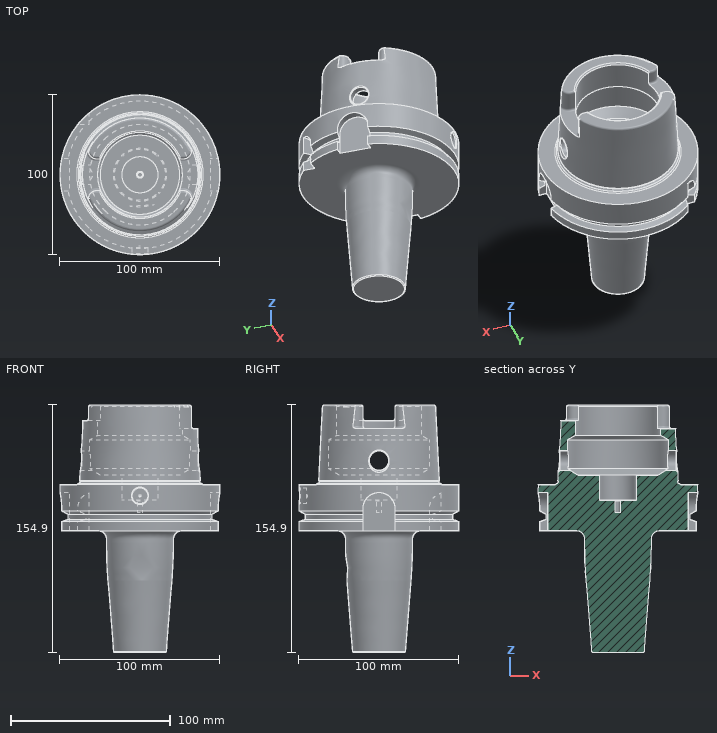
import cadquery as cq
import math


total_height = 154.9
shank_length = 49.9
flange_thickness = 29.0
flange_top = total_height - shank_length
flange_bottom = flange_top - flange_thickness

taper_base_radius = 37.8
taper_base_z = flange_top + 2.6
taper_slope = 1 / 20
taper_top_radius = taper_base_radius - taper_slope * (total_height - taper_base_z)
relief_depth = 0.3
relief_drop = 0.8
relief_fillet = 1.1
relief_foot_radius = 39.5
edge_round = 1.5

flange_radius = 50.0
groove_radius = 46.2
groove_upper_edge = 88.6
groove_upper_floor = 86.5
groove_lower_floor = 83.3
groove_lower_edge = 82.0

nose_angle = math.radians(4.5)
tip_radius = 16.5
tip_chamfer = 0.6
cone_top_z = 45.0
neck_bottom_z = 68.8
neck_fillet = 5.0
cone_top_radius = tip_radius + cone_top_z * math.tan(nose_angle)
blend_height = neck_bottom_z - cone_top_z
neck_radius = cone_top_radius + blend_height * math.tan(nose_angle / 2)

mouth_radius = 26.5
mouth_chamfer = 1.0
cavity_radius = 31.5
shoulder_z = 135.8
shoulder_angle = math.radians(30)
cavity_wall_bottom_z = 115.1
cavity_floor_radius = 24.8
cavity_floor_z = 110.9
thread_radius = 11.3
thread_depth = 15.5
coolant_radius = 1.5
coolant_depth = 7.7
coolant_chamfer = 0.6

slot_width = 19.8
slot_corner_radius = 5.0
slot_corner_x = 32.2
slot_depth_minus_x = 9.9
slot_depth_plus_x = 14.9

cross_hole_radius = 6.0
cross_hole_z = 120.0
cross_hole_sink = 1.0

keyway_width = 20.1
keyway_floor_x = 44.0
keyway_arc_z = 90.0
notch_floor_x = -31.8
notch_wall_y = 31.5

chip_radius = 5.4
chip_z = 98.0
chip_depth = 4.6
chip_chamfer = 0.5
chip_center_radius = 0.6
chip_center_depth = 0.8


def make_body():
    """Turned outer shape of the holder."""
    relief_radius = taper_base_radius - relief_depth
    relief_top_z = taper_base_z - relief_drop
    arc_mid_angle = math.radians(45)
    blend_radius = blend_height / math.sin(nose_angle)
    blend_mid = (
        neck_radius - blend_radius * (1 - math.cos(nose_angle / 2)),
        neck_bottom_z - blend_radius * math.sin(nose_angle / 2),
    )
    neck_mid = (
        neck_radius + neck_fillet * (1 - math.cos(arc_mid_angle)),
        flange_bottom - neck_fillet * (1 - math.sin(arc_mid_angle)),
    )
    relief_mid = (
        relief_radius + relief_fillet * (1 - math.cos(arc_mid_angle)),
        relief_top_z - relief_fillet * math.sin(arc_mid_angle),
    )
    profile = (
        cq.Workplane("YZ")
        .lineTo(tip_radius - tip_chamfer, 0)
        .lineTo(tip_radius + tip_chamfer * math.tan(nose_angle), tip_chamfer)
        .lineTo(cone_top_radius, cone_top_z)
        .threePointArc(blend_mid, (neck_radius, neck_bottom_z))
        .lineTo(neck_radius, flange_bottom - neck_fillet)
        .threePointArc(neck_mid, (neck_radius + neck_fillet, flange_bottom))
        .lineTo(flange_radius, flange_bottom)
        .lineTo(flange_radius, groove_lower_edge)
        .lineTo(groove_radius, groove_lower_floor)
        .lineTo(groove_radius, groove_upper_floor)
        .lineTo(flange_radius, groove_upper_edge)
        .lineTo(flange_radius, flange_top)
        .lineTo(relief_foot_radius, flange_top)
        .lineTo(relief_radius + relief_fillet, relief_top_z - relief_fillet)
        .threePointArc(relief_mid, (relief_radius, relief_top_z))
        .lineTo(taper_base_radius, taper_base_z)
        .lineTo(taper_top_radius, total_height)
        .lineTo(0, total_height)
        .close()
    )
    return profile.revolve(360, (0, 0, 0), (0, 1, 0))


def make_cavity():
    """Clamping hollow, tube thread bore and coolant hole, all on the axis."""
    shoulder_bottom_z = shoulder_z - (cavity_radius - mouth_radius) * math.tan(shoulder_angle)
    thread_bottom_z = cavity_floor_z - thread_depth
    profile = (
        cq.Workplane("YZ")
        .moveTo(0, total_height)
        .lineTo(mouth_radius + mouth_chamfer, total_height)
        .lineTo(mouth_radius, total_height - mouth_chamfer)
        .lineTo(mouth_radius, shoulder_z)
        .lineTo(cavity_radius, shoulder_bottom_z)
        .lineTo(cavity_radius, cavity_wall_bottom_z)
        .lineTo(cavity_floor_radius, cavity_floor_z)
        .lineTo(thread_radius, cavity_floor_z)
        .lineTo(thread_radius, thread_bottom_z)
        .lineTo(coolant_radius + coolant_chamfer, thread_bottom_z)
        .lineTo(coolant_radius, thread_bottom_z - coolant_chamfer)
        .lineTo(coolant_radius, thread_bottom_z - coolant_depth)
        .lineTo(0, thread_bottom_z - coolant_depth)
        .close()
    )
    return profile.revolve(360, (0, 0, 0), (0, 1, 0))


def make_drive_slot(side, depth):
    """Slot from the axis out to one X side, flaring around the rounded lug corners."""
    half_width = slot_width / 2
    arc_start_x = slot_corner_x - slot_corner_radius
    flare_y = half_width + slot_corner_radius
    outer_y = flange_radius
    outer_x = flange_radius + 2 * edge_round
    mid_offset = slot_corner_radius * math.sin(math.radians(45))
    mid_x = arc_start_x + mid_offset
    mid_y = flare_y - mid_offset
    slot = (
        cq.Workplane("XY", origin=(0, 0, total_height - depth))
        .moveTo(0, -half_width)
        .lineTo(arc_start_x, -half_width)
        .threePointArc((mid_x, -mid_y), (slot_corner_x, -flare_y))
        .lineTo(slot_corner_x, -outer_y)
        .lineTo(outer_x, -outer_y)
        .lineTo(outer_x, outer_y)
        .lineTo(slot_corner_x, outer_y)
        .lineTo(slot_corner_x, flare_y)
        .threePointArc((mid_x, mid_y), (arc_start_x, half_width))
        .lineTo(0, half_width)
        .close()
        .extrude(depth)
        .faces("<Z").edges().fillet(edge_round)
    )
    return slot if side > 0 else slot.rotate((0, 0, 0), (0, 0, 1), 180)


def make_slotted_blank():
    """Plain cylinder around the part, with both drive slots and their rounded upper edges."""
    blank = cq.Workplane("XY").circle(flange_radius).extrude(total_height)
    blank = blank.cut(make_drive_slot(-1, slot_depth_minus_x))
    blank = blank.cut(make_drive_slot(1, slot_depth_plus_x))
    return blank.faces(">Z").edges("%LINE").fillet(edge_round)


def make_cross_hole(side):
    """Hole along X through the shank wall on one side, countersunk at its mouth."""
    mouth_x = taper_base_radius - taper_slope * (cross_hole_z - taper_base_z)
    hole = (
        cq.Workplane("XY")
        .lineTo(mouth_x + cross_hole_sink, 0)
        .lineTo(mouth_x + cross_hole_sink, cross_hole_radius + 2 * cross_hole_sink)
        .lineTo(mouth_x - cross_hole_sink, cross_hole_radius)
        .lineTo(0, cross_hole_radius)
        .close()
        .revolve(360, (0, 0, 0), (1, 0, 0))
    )
    hole = hole if side > 0 else hole.rotate((0, 0, 0), (0, 0, 1), 180)
    return hole.translate((0, 0, cross_hole_z))


def make_keyway(inner_x, outer_x, center_y):
    """Arch-topped flange slot between two X planes, open at the flange underside."""
    radius = keyway_width / 2
    height = keyway_arc_z - flange_bottom
    return (
        cq.Workplane("YZ", origin=(inner_x, center_y, flange_bottom))
        .moveTo(-radius, 0)
        .lineTo(radius, 0)
        .lineTo(radius, height)
        .threePointArc((0, height + radius), (-radius, height))
        .close()
        .extrude(outer_x - inner_x)
    )


def make_chip_pocket():
    """Chamfered round pocket on the -Y side with a small centre hole."""
    floor_y = -flange_radius + chip_depth
    profile = (
        cq.Workplane("XY")
        .moveTo(0, -flange_radius)
        .lineTo(chip_radius, -flange_radius)
        .lineTo(chip_radius - chip_chamfer, -flange_radius + 2 * chip_chamfer)
        .lineTo(chip_radius - chip_chamfer, floor_y)
        .lineTo(chip_center_radius, floor_y)
        .lineTo(chip_center_radius, floor_y + chip_center_depth)
        .lineTo(0, floor_y + chip_center_depth)
        .close()
    )
    return profile.revolve(360, (0, 0, 0), (0, 1, 0)).translate((0, 0, chip_z))


rounded_body = make_body().faces(">Z").edges().fillet(edge_round)
result = rounded_body.intersect(make_slotted_blank())
result = result.cut(make_cavity())
result = result.cut(make_cross_hole(-1))
result = result.cut(make_cross_hole(1))

result = result.cut(make_keyway(-flange_radius, -keyway_floor_x, 0))
result = result.cut(make_keyway(keyway_floor_x, flange_radius, 0))
result = result.cut(make_keyway(-flange_radius, notch_floor_x, notch_wall_y + keyway_width / 2))
result = result.cut(make_chip_pocket())